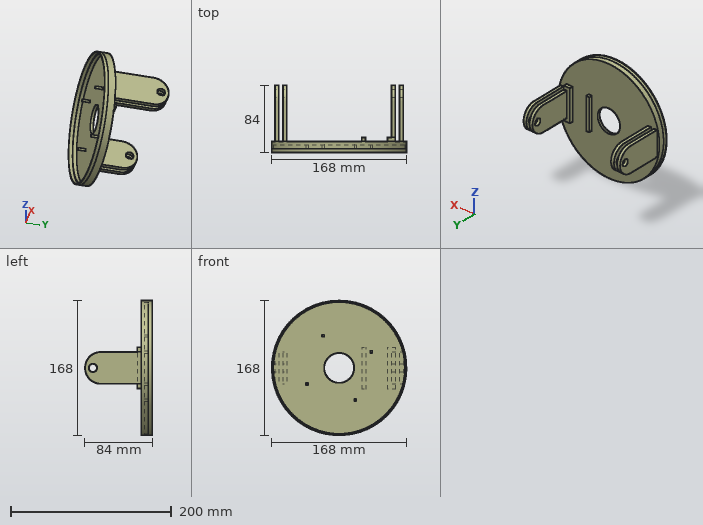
import cadquery as cq

cover_diameter = 168.0
cover_depth = 14.0
floor_thickness = 4.0
wall_thickness = 2.0
lip_thickness = 1.0
lip_depth = 5.0
center_hole_diameter = 37.0

pin_count = 4
pin_diameter = 3.0
pin_length = 10.0
pin_long_offset = 40.0
pin_short_offset = 20.0

arm_thickness = 5.0
arm_width = 40.0
arm_reach = 70.0
arm_gap = 5.0
arm_outer_x = 80.0
pivot_hole_diameter = 10.0
pivot_edge_distance = 10.0

rib_height = 5.0
rib_length = 51.5
narrow_rib_width = 5.0
narrow_rib_start_x = 28.0
wide_rib_width = 10.0

cover_radius = cover_diameter / 2
floor_y = cover_depth - floor_thickness
arm_tip_y = cover_depth + arm_reach
arm_round_y = arm_tip_y - arm_width / 2
pivot_y = arm_tip_y - pivot_edge_distance
inner_arm_outer_x = arm_outer_x - arm_thickness - arm_gap
wide_rib_start_x = inner_arm_outer_x - wide_rib_width


def cylinder_y(radius, start_y, end_y, x=0.0, z=0.0):
    """Cylinder along Y between two Y positions."""
    axis_start = cq.Vector(x, start_y, z)
    return cq.Workplane(cq.Solid.makeCylinder(radius, end_y - start_y, axis_start, cq.Vector(0, 1, 0)))


def make_cover():
    """Shallow round cup with a stepped rim and a central opening."""
    cover = cylinder_y(cover_radius, 0, cover_depth)
    cover = cover.cut(cylinder_y(cover_radius - wall_thickness, 0, floor_y))
    cover = cover.cut(cylinder_y(cover_radius - lip_thickness, 0, lip_depth))
    return cover.cut(cylinder_y(center_hole_diameter / 2, 0, cover_depth))


def make_arm(start_x):
    """Flat arm with a rounded tip and a pivot hole along X."""
    half_width = arm_width / 2
    return (
        cq.Workplane("YZ", origin=(start_x, 0, 0))
        .moveTo(cover_depth, -half_width)
        .lineTo(arm_round_y, -half_width)
        .threePointArc((arm_tip_y, 0), (arm_round_y, half_width))
        .lineTo(cover_depth, half_width)
        .close()
        .moveTo(pivot_y, 0)
        .circle(pivot_hole_diameter / 2)
        .extrude(arm_thickness)
    )


def make_rib(start_x, width):
    """Straight rib along Z on the back face."""
    return (
        cq.Workplane("XY", origin=(start_x, cover_depth, 0))
        .box(width, rib_height, rib_length, centered=(False, False, True))
    )


result = make_cover()

pin_x = pin_long_offset
pin_z = pin_short_offset
for _ in range(pin_count):
    result = result.union(cylinder_y(pin_diameter / 2, floor_y - pin_length, floor_y, pin_x, pin_z))
    pin_x, pin_z = -pin_z, pin_x

for outer_x in (arm_outer_x, inner_arm_outer_x):
    result = result.union(make_arm(outer_x - arm_thickness))
    result = result.union(make_arm(-outer_x))

result = result.union(make_rib(narrow_rib_start_x, narrow_rib_width))
result = result.union(make_rib(wide_rib_start_x, wide_rib_width))